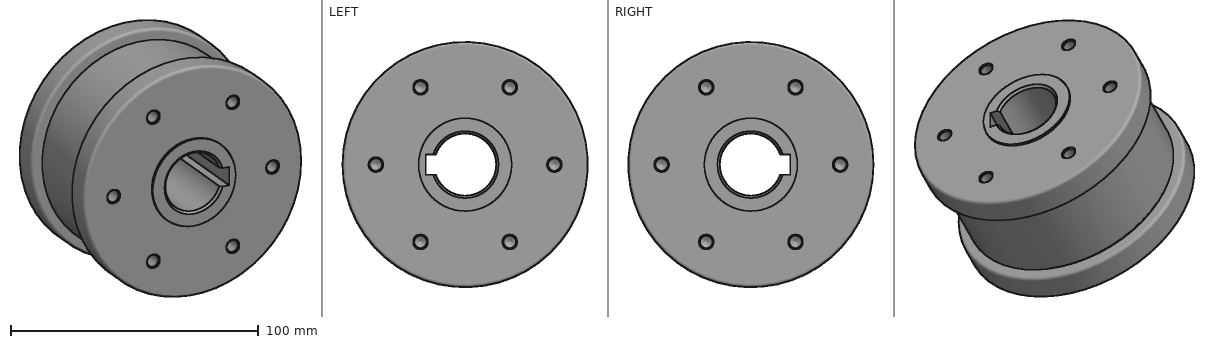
import cadquery as cq
import math

overall_length = 60.0
hub_height = 1.0
hub_diameter = 37.5
flange_diameter = 99.0
flange_width = 11.5
flange_rounding = 1.3
drum_diameter = 90.0
drum_rounding = 1.0

bore_diameter = 25.0
bore_chamfer = 1.0
keyway_width = 8.0
keyway_floor = 15.8

hole_count = 6
hole_circle_diameter = 72.0
hole_diameter = 5.0
hole_chamfer = 0.5
hole_depth = 15.0
drill_point_angle = 118.0

hub_face = overall_length / 2
flange_outer_face = hub_face - hub_height
flange_inner_face = flange_outer_face - flange_width


def cylinder(diameter, x_start, x_end):
    """Cylinder about the X axis between two X positions."""
    return cq.Workplane("YZ", origin=(x_start, 0, 0)).circle(diameter / 2).extrude(x_end - x_start)


def spool_body():
    """Drum with rounded ends between two rounded flanges, with a raised hub face at each end."""
    drum = cylinder(drum_diameter, -flange_inner_face, flange_inner_face).edges().fillet(drum_rounding)
    body = drum.union(cylinder(hub_diameter, -hub_face, hub_face))
    flange = cylinder(flange_diameter, flange_inner_face, flange_outer_face).edges().fillet(flange_rounding)
    return body.union(flange).union(flange.mirror("YZ"))


def bore():
    """Through bore, widened by a chamfer at both ends."""
    radius = bore_diameter / 2
    mouth_radius = radius + bore_chamfer
    chamfer_start = hub_face - bore_chamfer
    return (
        cq.Workplane("XY")
        .moveTo(-hub_face, 0)
        .lineTo(-hub_face, mouth_radius)
        .lineTo(-chamfer_start, radius)
        .lineTo(chamfer_start, radius)
        .lineTo(hub_face, mouth_radius)
        .lineTo(hub_face, 0)
        .close()
        .revolve(360, (0, 0, 0), (1, 0, 0))
    )


def keyway():
    """Full-length keyway on the +Y side of the bore."""
    return cq.Workplane("XY").box(overall_length, keyway_floor, keyway_width, centered=(True, False, True))


def flange_hole():
    """Blind drilled hole on the +Y axis in the -X flange, with a chamfered mouth and a conical end."""
    radius = hole_diameter / 2
    mouth_radius = radius + hole_chamfer
    point_length = radius / math.tan(math.radians(drill_point_angle / 2))
    mouth = -flange_outer_face
    shoulder = mouth + hole_depth
    axis_y = hole_circle_diameter / 2
    return (
        cq.Workplane("XY")
        .moveTo(mouth, axis_y)
        .lineTo(mouth, axis_y + mouth_radius)
        .lineTo(mouth + hole_chamfer, axis_y + radius)
        .lineTo(shoulder, axis_y + radius)
        .lineTo(shoulder + point_length, axis_y)
        .close()
        .revolve(360, (0, axis_y, 0), (1, axis_y, 0))
    )


result = spool_body().cut(bore()).cut(keyway())

for index in range(hole_count):
    hole = flange_hole().rotate((0, 0, 0), (1, 0, 0), index * 360 / hole_count)
    result = result.cut(hole).cut(hole.mirror("YZ"))